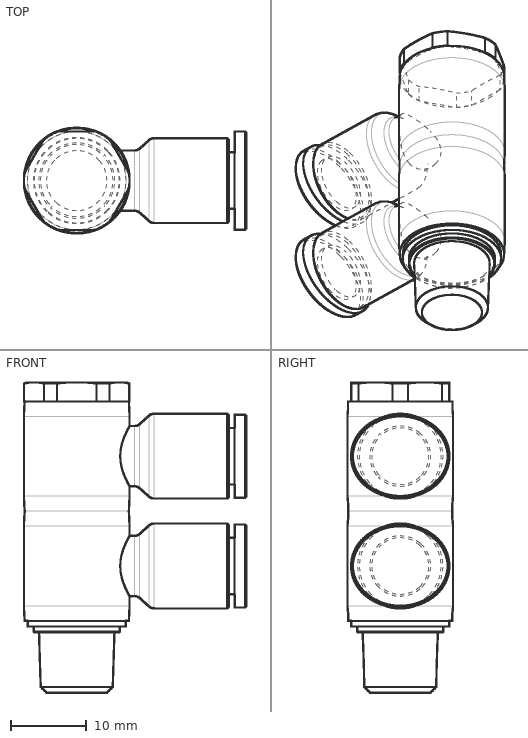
import cadquery as cq
import math

TOTAL_HEIGHT = 41.0
THREAD_HEIGHT = 8.0
COLLAR_HEIGHT = 0.75
FLANGE_HEIGHT = 0.75
SECTION_HEIGHT = 14.5
SECTION_COUNT = 2
SECTION_TAPER_HEIGHT = 2.0

SECTION_RADIUS = 7.0
SECTION_END_RADIUS = 6.9
FLANGE_RADIUS = 6.5
COLLAR_RADIUS = 5.7
COLLAR_CHAMFER = 0.1
THREAD_TOP_RADIUS = 5.0
THREAD_TAPER_RATIO = 1 / 32
THREAD_CHAMFER = 0.8

HEX_SIDES = 6
HEX_ACROSS_FLATS = 13.0
HEX_CORNER_RADIUS = 7.0
HEX_TOP_CHAMFER_HEIGHT = 0.15

NECK_RADIUS = 4.0
NECK_END_X = 7.65
SHOULDER_ANGLE = math.radians(42)
SHOULDER_BLEND_RADIUS = 1.0
PORT_RADIUS = 5.625
PORT_END_X = 20.1
PORT_END_CHAMFER = 0.25
SLEEVE_RADIUS = 3.75
RING_WIDTH = 13.0
RING_HEIGHT = 11.0
RING_THICKNESS = 1.6
RING_CHAMFER = 0.25
RING_END_X = 22.45

COLLAR_TOP_Z = THREAD_HEIGHT + COLLAR_HEIGHT
SECTIONS_BASE_Z = COLLAR_TOP_Z + FLANGE_HEIGHT
SECTIONS_TOP_Z = SECTIONS_BASE_Z + SECTION_COUNT * SECTION_HEIGHT
RING_START_X = RING_END_X - RING_THICKNESS


def disc(radius, base_z, height):
    """Upright cylinder on the stem axis."""
    return cq.Workplane("XY").workplane(offset=base_z).circle(radius).extrude(height)


def make_thread():
    """Tapered threaded end with a chamfered tip."""
    chamfer_radius = THREAD_TOP_RADIUS - THREAD_TAPER_RATIO * (THREAD_HEIGHT - THREAD_CHAMFER)
    profile = [
        (0, 0),
        (chamfer_radius - THREAD_CHAMFER, 0),
        (chamfer_radius, THREAD_CHAMFER),
        (THREAD_TOP_RADIUS, THREAD_HEIGHT),
        (0, THREAD_HEIGHT),
    ]
    return cq.Workplane("XZ").polyline(profile).close().revolve(360, (0, 0), (0, 1))


def make_collars():
    """Stepped collar and flange between the thread and the sections."""
    collar = disc(COLLAR_RADIUS, THREAD_HEIGHT, COLLAR_HEIGHT).faces("<Z").chamfer(COLLAR_CHAMFER)
    return collar.union(disc(FLANGE_RADIUS, COLLAR_TOP_Z, FLANGE_HEIGHT))


def make_section(base_z):
    """Cylindrical body section that tapers slightly towards both ends."""
    top_z = base_z + SECTION_HEIGHT
    profile = [
        (0, base_z),
        (SECTION_END_RADIUS, base_z),
        (SECTION_RADIUS, base_z + SECTION_TAPER_HEIGHT),
        (SECTION_RADIUS, top_z - SECTION_TAPER_HEIGHT),
        (SECTION_END_RADIUS, top_z),
        (0, top_z),
    ]
    return cq.Workplane("XZ").polyline(profile).close().revolve(360, (0, 0), (0, 1))


def make_hex_head():
    """Hexagon with flats on +Y and -Y, corners turned round and top edge chamfered."""
    height = TOTAL_HEIGHT - SECTIONS_TOP_Z
    corner_diameter = HEX_ACROSS_FLATS / math.cos(math.pi / HEX_SIDES)
    hexagon = cq.Workplane("XY").workplane(offset=SECTIONS_TOP_Z)
    hexagon = hexagon.polygon(HEX_SIDES, corner_diameter).extrude(height)
    top_inset = HEX_CORNER_RADIUS - HEX_ACROSS_FLATS / 2
    turned = disc(HEX_CORNER_RADIUS, SECTIONS_TOP_Z, height)
    turned = turned.faces(">Z").chamfer(HEX_TOP_CHAMFER_HEIGHT, top_inset)
    return hexagon.intersect(turned)


def make_port_body():
    """Neck, blended conical shoulder, tube socket and sleeve, turned about the X axis."""
    blend_length = SHOULDER_BLEND_RADIUS * math.sin(SHOULDER_ANGLE)
    blend_rise = SHOULDER_BLEND_RADIUS * (1 - math.cos(SHOULDER_ANGLE))
    mid_length = SHOULDER_BLEND_RADIUS * math.sin(SHOULDER_ANGLE / 2)
    mid_rise = SHOULDER_BLEND_RADIUS * (1 - math.cos(SHOULDER_ANGLE / 2))
    cone_rise = PORT_RADIUS - NECK_RADIUS - 2 * blend_rise
    cone_start_x = NECK_END_X + blend_length
    cone_end_x = cone_start_x + cone_rise / math.tan(SHOULDER_ANGLE)
    socket_start_x = cone_end_x + blend_length
    return (
        cq.Workplane("XZ")
        .lineTo(0, NECK_RADIUS)
        .lineTo(NECK_END_X, NECK_RADIUS)
        .threePointArc(
            (NECK_END_X + mid_length, NECK_RADIUS + mid_rise),
            (cone_start_x, NECK_RADIUS + blend_rise),
        )
        .lineTo(cone_end_x, PORT_RADIUS - blend_rise)
        .threePointArc(
            (socket_start_x - mid_length, PORT_RADIUS - mid_rise),
            (socket_start_x, PORT_RADIUS),
        )
        .lineTo(PORT_END_X - PORT_END_CHAMFER, PORT_RADIUS)
        .lineTo(PORT_END_X, PORT_RADIUS - PORT_END_CHAMFER)
        .lineTo(PORT_END_X, SLEEVE_RADIUS)
        .lineTo(RING_START_X, SLEEVE_RADIUS)
        .lineTo(RING_START_X, 0)
        .close()
        .revolve(360, (0, 0), (1, 0))
    )


def make_release_ring():
    """Oval release ring, wider along Y than it is tall, chamfered on its outer end."""
    ring = cq.Workplane("YZ").workplane(offset=RING_START_X)
    ring = ring.ellipse(RING_WIDTH / 2, RING_HEIGHT / 2).extrude(RING_THICKNESS)
    return ring.faces(">X").chamfer(RING_CHAMFER)


result = make_thread().union(make_collars()).union(make_hex_head())
port = make_port_body().union(make_release_ring())
for section_index in range(SECTION_COUNT):
    section_z = SECTIONS_BASE_Z + section_index * SECTION_HEIGHT
    port_z = section_z + SECTION_HEIGHT / 2
    result = result.union(make_section(section_z)).union(port.translate((0, 0, port_z)))